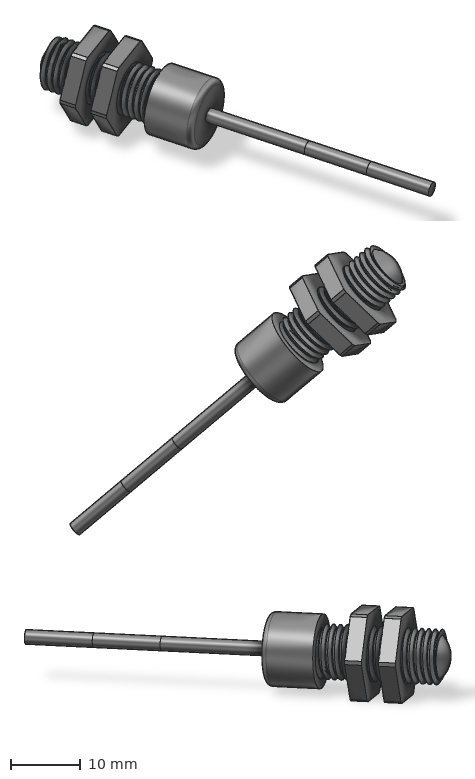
import cadquery as cq
import math

TOTAL_LENGTH = 62.7

FRONT_FACE_X = 1.3
HEAD_START_X = 19.0
HEAD_LENGTH = 7.7
HEAD_RADIUS = 5.4
HEAD_FILLET = 0.8

THREAD_RADIUS = 4.0
THREAD_DEPTH = 0.6
THREAD_PITCH = 1.0
THREAD_BASE_WIDTH = 0.9
THREAD_TOP_CREST_X = 1.3
THREAD_SINK = 0.05
THREAD_OVERRUN_TURNS = 2

LENS_RADIUS = 3.15

NUT_ACROSS_FLATS = 12.7
NUT_ACROSS_CORNERS = 14.35
NUT_TURN = 30.0
NUT_THICKNESS = 2.5
FIRST_NUT_X = 6.35
NUT_SPACING = 5.0
NUT_COUNT = 2

CABLE_RADIUS = 1.05
CABLE_SHORT_LENGTH = 10.05
CABLE_SHORT_COUNT = 2

CORE_RADIUS = THREAD_RADIUS - THREAD_DEPTH
SHANK_LENGTH = HEAD_START_X - FRONT_FACE_X
HEAD_END_X = HEAD_START_X + HEAD_LENGTH
CABLE_LONG_END_X = TOTAL_LENGTH - CABLE_SHORT_COUNT * CABLE_SHORT_LENGTH


def rod(start_x, length, radius):
    """Round bar along X."""
    return cq.Workplane("YZ", origin=(start_x, 0, 0)).circle(radius).extrude(length)


def thread_ridge():
    """Helical ridge along X, overrunning the shank by whole turns at both ends."""
    start_x = THREAD_TOP_CREST_X - THREAD_OVERRUN_TURNS * THREAD_PITCH
    height = SHANK_LENGTH + 2 * THREAD_OVERRUN_TURNS * THREAD_PITCH
    base_radius = CORE_RADIUS - THREAD_SINK
    half_base = THREAD_BASE_WIDTH / 2 * (THREAD_DEPTH + THREAD_SINK) / THREAD_DEPTH

    helix = cq.Wire.makeHelix(THREAD_PITCH, height, CORE_RADIUS)
    profile = cq.Workplane("XZ").polyline([
        (base_radius, -half_base),
        (THREAD_RADIUS, 0),
        (base_radius, half_base),
    ]).close()
    ridge = profile.sweep(cq.Workplane(obj=helix), isFrenet=True)
    return (
        ridge.rotate((0, 0, 0), (0, 1, 0), 90)
        .rotate((0, 0, 0), (1, 0, 0), 180)
        .translate((start_x, 0, 0))
    )


def make_housing():
    ridge = thread_ridge().intersect(rod(FRONT_FACE_X, SHANK_LENGTH, HEAD_RADIUS))
    shank = rod(FRONT_FACE_X, SHANK_LENGTH, CORE_RADIUS).union(ridge)
    head = rod(HEAD_START_X, HEAD_LENGTH, HEAD_RADIUS).faces(">X").edges().fillet(HEAD_FILLET)
    return shank.union(head)


def make_lens():
    """Spherical cap standing on the front face of the housing."""
    sphere_radius = (LENS_RADIUS**2 + FRONT_FACE_X**2) / (2 * FRONT_FACE_X)
    arc_middle_x = sphere_radius - math.sqrt(sphere_radius**2 - (LENS_RADIUS / 2) ** 2)
    return (
        cq.Workplane("XY")
        .threePointArc((arc_middle_x, -LENS_RADIUS / 2), (FRONT_FACE_X, -LENS_RADIUS))
        .lineTo(FRONT_FACE_X, 0)
        .close()
        .revolve(360, (0, 0, 0), (1, 0, 0))
    )


def hexagon_prism(start_x, across_flats, turn):
    """Hexagonal bar with flats at +Y and -Y, then turned about X by an angle in degrees."""
    return (
        cq.Workplane("YZ", origin=(start_x, 0, 0))
        .polygon(6, across_flats, circumscribed=True)
        .extrude(NUT_THICKNESS)
        .rotate((0, 0, 0), (1, 0, 0), turn)
    )


def make_nut(start_x):
    """Hexagon nut whose six corners are cut off flat."""
    blank = hexagon_prism(start_x, NUT_ACROSS_FLATS, NUT_TURN)
    corner_trim = hexagon_prism(start_x, NUT_ACROSS_CORNERS, 0)
    bore = rod(start_x, NUT_THICKNESS, THREAD_RADIUS)
    return blank.intersect(corner_trim).cut(bore)


def make_cable_piece(start_x, length):
    return rod(start_x, length, CABLE_RADIUS)


housing = make_housing()
lens = make_lens()
nuts = [make_nut(FIRST_NUT_X + i * NUT_SPACING) for i in range(NUT_COUNT)]
long_cable = make_cable_piece(HEAD_END_X, CABLE_LONG_END_X - HEAD_END_X)
short_cables = [
    make_cable_piece(CABLE_LONG_END_X + i * CABLE_SHORT_LENGTH, CABLE_SHORT_LENGTH)
    for i in range(CABLE_SHORT_COUNT)
]

result = cq.Compound.makeCompound([
    housing.val(),
    lens.val(),
    *[nut.val() for nut in nuts],
    long_cable.val(),
    *[piece.val() for piece in short_cables],
])